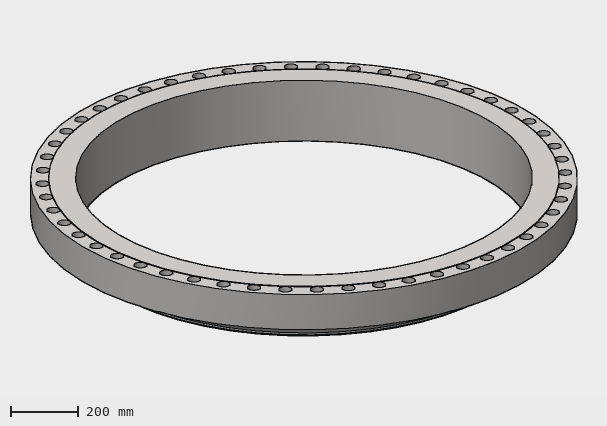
import cadquery as cq
import math


flange_diameter = 1613.0
total_height = 198.0
bore_diameter = 1347.0

plate_thickness = 116.0
raised_face_diameter = 1505.0
raised_face_height = 2.0

hub_base_diameter = 1445.0
weld_end_diameter = 1375.0
weld_end_length = 16.0
hub_fillet_radius = 10.0

bevel_angle = 37.5
land_width = 2.0

bolt_count = 52
bolt_circle_diameter = 1542.0
bolt_hole_diameter = 39.0

bore_radius = bore_diameter / 2
weld_end_radius = weld_end_diameter / 2
plate_top = total_height - raised_face_height
plate_bottom = total_height - plate_thickness
land_radius = bore_radius + land_width
bevel_height = (weld_end_radius - land_radius) * math.tan(math.radians(bevel_angle))


def flange_body():
    """Ring turned from the half section of plate, raised face, hub and bevel."""
    section = (
        cq.Workplane("XZ")
        .moveTo(bore_radius, 0)
        .lineTo(land_radius, 0)
        .lineTo(weld_end_radius, bevel_height)
        .lineTo(weld_end_radius, weld_end_length)
        .lineTo(hub_base_diameter / 2, plate_bottom)
        .lineTo(flange_diameter / 2, plate_bottom)
        .lineTo(flange_diameter / 2, plate_top)
        .lineTo(raised_face_diameter / 2, plate_top)
        .lineTo(raised_face_diameter / 2, total_height)
        .lineTo(bore_radius, total_height)
        .close()
    )
    return section.revolve(360, (0, 0, 0), (0, 1, 0))


def fillet_hub_base(body):
    """Round the inside corner where the hub meets the underside of the plate."""
    margin = hub_fillet_radius / 2
    reach = hub_base_diameter / 2 + margin
    corner = cq.selectors.BoxSelector(
        (-reach, -reach, plate_bottom - margin),
        (reach, reach, plate_bottom + margin),
        boundingbox=True,
    )
    return body.edges(corner).fillet(hub_fillet_radius)


def bolt_holes():
    """Ring of holes through the plate; the raised face slightly overlaps their inner edge."""
    return (
        cq.Workplane("XY")
        .polarArray(bolt_circle_diameter / 2, 0, 360, bolt_count)
        .circle(bolt_hole_diameter / 2)
        .extrude(plate_top)
    )


result = fillet_hub_base(flange_body()).cut(bolt_holes())